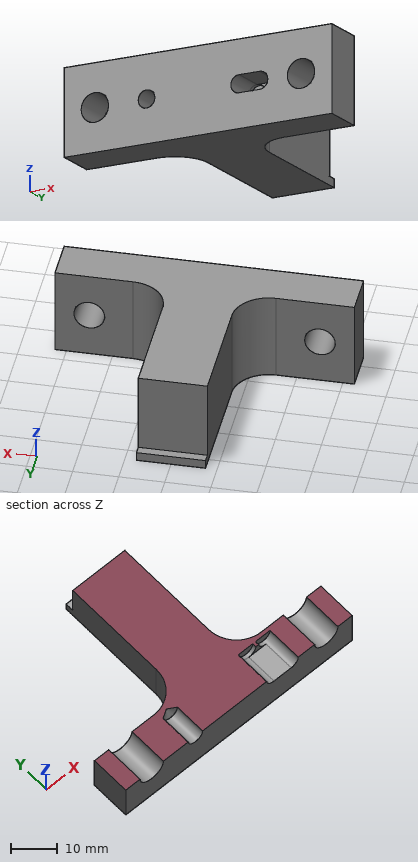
import cadquery as cq
import math

length = 65.0
height = 20.0
flange_depth = 10.0
stem_width = 15.0
total_depth = 46.6
corner_radius = 8.0

lip_length = 2.0
lip_height = 2.0

bolt_diameter = 6.6
bolt_offset = 25.0
pin_diameter = 4.0
pin_offset = 12.5
pin_depth = 8.0
drill_tip_angle = 118.0
slot_length = 9.0
slot_center = pin_offset
slot_depth = pin_depth
slot_end_extra_depth = 1.0


def tee_body():
    """T-shaped block with its front face on Y = 0 and its base on Z = 0."""
    flange = cq.Workplane("XY").box(length, flange_depth, height, centered=(True, False, False))
    stem = cq.Workplane("XY").box(stem_width, total_depth, height, centered=(True, False, False))
    inner_corners = cq.selectors.BoxSelector(
        (-stem_width, flange_depth - 0.65, -0.65),
        (stem_width, flange_depth + 0.65, height + 0.65),
    )
    return flange.union(stem).edges("|Z").edges(inner_corners).fillet(corner_radius)


def lip_step():
    """Material removed above the lip."""
    return (
        cq.Workplane("XY")
        .box(stem_width, lip_length, height - lip_height, centered=(True, False, False))
        .translate((0, total_depth - lip_length, lip_height))
    )


def front_hole(x, diameter, depth):
    """Flat-bottomed cylinder running back from the front face at mid height."""
    center = cq.Vector(x, 0, height / 2)
    return cq.Workplane(cq.Solid.makeCylinder(diameter / 2, depth, center, cq.Vector(0, 1, 0)))


def pin_hole():
    """Blind hole with a conical drill tip."""
    radius = pin_diameter / 2
    tip_depth = radius / math.tan(math.radians(drill_tip_angle / 2))
    tip_start = cq.Vector(-pin_offset, pin_depth, height / 2)
    tip = cq.Solid.makeCone(radius, 0, tip_depth, tip_start, cq.Vector(0, 1, 0))
    return front_hole(-pin_offset, pin_diameter, pin_depth).union(cq.Workplane(tip))


def pin_slot():
    """Blind slot with a slightly deeper drilled hole at each end."""
    slot = (
        cq.Workplane("XZ", origin=(slot_center, 0, height / 2))
        .slot2D(slot_length, pin_diameter)
        .extrude(-slot_depth)
    )
    end_offset = (slot_length - pin_diameter) / 2
    for side in (-1, 1):
        x = slot_center + side * end_offset
        slot = slot.union(front_hole(x, pin_diameter, slot_depth + slot_end_extra_depth))
    return slot


result = tee_body().cut(lip_step()).cut(pin_hole()).cut(pin_slot())
for side in (-1, 1):
    result = result.cut(front_hole(side * bolt_offset, bolt_diameter, flange_depth))